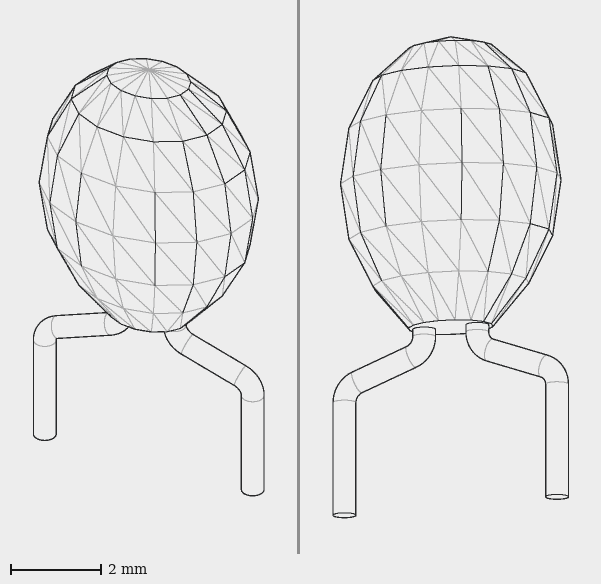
import cadquery as cq
import math

overall_height = 10.67
lead_pitch = 5.08
lead_diameter = 0.51
bead_width = lead_pitch
bead_depth = 3.81
bead_height = 6.6
segments = 16
bands = 8

lead_entry_pitch = lead_pitch / 4
lead_stub = 0.16
leg_length = 2.56
slope_angle = math.radians(20.0)
lead_drop = overall_height - bead_height


def bead_ring(band):
    """Corner points of the bead at one latitude, counted down from the top pole."""
    latitude = math.pi * band / bands
    ring_scale = math.sin(latitude)
    is_lowest = band == bands - 1
    height_factor = -1.0 if is_lowest else math.cos(latitude)
    z = bead_height / 2 * (1 + height_factor)
    points = []
    for i in range(segments):
        azimuth = 2 * math.pi * i / segments
        x = bead_width / 2 * ring_scale * math.cos(azimuth)
        y = bead_depth / 2 * ring_scale * math.sin(azimuth)
        points.append(cq.Vector(x, y, z))
    return points


def flat_face(points):
    return cq.Face.makeFromWires(cq.Wire.makePolygon(points, close=True))


def make_bead():
    """Triangle-faceted ellipsoid with a pointed top and a flat underside."""
    top_pole = cq.Vector(0, 0, bead_height)
    rings = [bead_ring(band) for band in range(1, bands)]
    faces = [flat_face(rings[-1])]
    for i in range(segments):
        j = (i + 1) % segments
        faces.append(flat_face([top_pole, rings[0][i], rings[0][j]]))
        for upper, lower in zip(rings, rings[1:]):
            faces.append(flat_face([upper[i], lower[i], lower[j]]))
            faces.append(flat_face([upper[i], lower[j], upper[j]]))
    return cq.Solid.makeSolid(cq.Shell.makeShell(faces))


def make_lead(side):
    """Round wire with two bends; side is -1 for the -X lead and +1 for the +X lead."""
    entry_x = lead_entry_pitch / 2
    leg_x = lead_pitch / 2
    leg_top = leg_length - lead_drop
    turn = math.pi / 2 - slope_angle
    slope_fall = (leg_x - entry_x) * math.tan(slope_angle)
    bend_radius = (-lead_stub - leg_top - slope_fall) / (2 * math.tan(turn / 2))

    def upper_bend(angle):
        x = entry_x + bend_radius * (1 - math.cos(angle))
        return (side * x, -lead_stub - bend_radius * math.sin(angle))

    def lower_bend(angle):
        x = leg_x - bend_radius * (1 - math.cos(angle))
        return (side * x, leg_top + bend_radius * math.sin(angle))

    path = (
        cq.Workplane("XZ")
        .moveTo(side * entry_x, 0)
        .lineTo(*upper_bend(0))
        .threePointArc(upper_bend(turn / 2), upper_bend(turn))
        .lineTo(*lower_bend(turn))
        .threePointArc(lower_bend(turn / 2), lower_bend(0))
        .lineTo(side * leg_x, -lead_drop)
    )
    return cq.Workplane("XY").center(side * entry_x, 0).circle(lead_diameter / 2).sweep(path)


bead = make_bead()
leads = [make_lead(side).val() for side in (-1, 1)]

result = cq.Compound.makeCompound([bead, *leads])